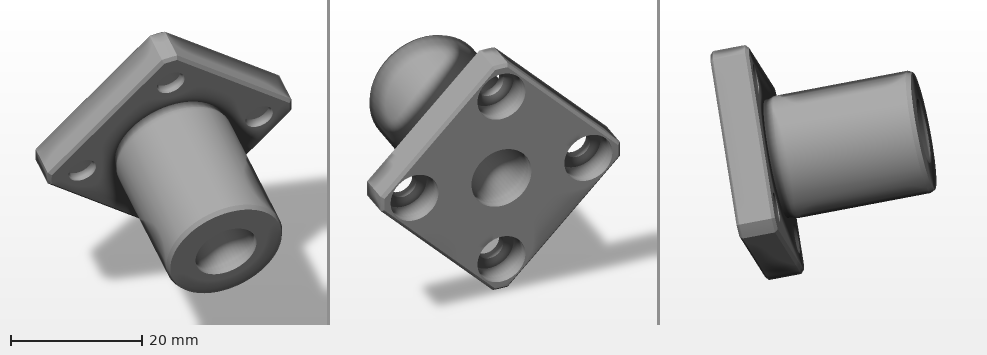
import cadquery as cq
import math

total_length = 29.0
flange_thickness = 6.0
flange_side = 30.0
flange_corner_diameter = 40.0
flange_chamfer = 0.48

sleeve_diameter = 19.0
bore_diameter = 10.0
neck_length = 1.45
neck_depth = 0.3
end_chamfer_length = 0.7
end_chamfer_depth = 0.35

hole_count = 4
hole_circle_diameter = 29.0
hole_diameter = 4.5
counterbore_diameter = 8.0
counterbore_depth = 4.4


def make_flange():
    """Square plate with its corners rounded by a common circle and both rims chamfered."""
    square = (
        cq.Workplane("YZ")
        .rect(flange_side, flange_side)
        .extrude(flange_thickness)
        .rotate((0, 0, 0), (1, 0, 0), 45)
    )
    disc = cq.Workplane("YZ").circle(flange_corner_diameter / 2).extrude(flange_thickness)
    return square.intersect(disc).faces("<X or >X").chamfer(flange_chamfer)


def make_sleeve():
    """Turned sleeve with a concave neck at the flange and a chamfered free end."""
    radius = sleeve_diameter / 2
    neck_radius = radius - neck_depth
    neck_end = flange_thickness + neck_length
    return (
        cq.Workplane("XY")
        .moveTo(0, 0)
        .lineTo(0, neck_radius)
        .lineTo(flange_thickness, neck_radius)
        .tangentArcPoint((neck_end, radius), relative=False)
        .lineTo(total_length - end_chamfer_length, radius)
        .lineTo(total_length, radius - end_chamfer_depth)
        .lineTo(total_length, 0)
        .close()
        .revolve(360, (0, 0, 0), (1, 0, 0))
    )


def make_mounting_hole(angle):
    """Cutter for one counterbored hole, opening wide on the front face of the flange."""
    place_y = hole_circle_diameter / 2 * math.cos(math.radians(angle))
    place_z = hole_circle_diameter / 2 * math.sin(math.radians(angle))
    centre = cq.Workplane("YZ").center(place_y, place_z)
    through_hole = centre.circle(hole_diameter / 2).extrude(flange_thickness)
    counterbore = centre.circle(counterbore_diameter / 2).extrude(counterbore_depth)
    return through_hole.union(counterbore)


bore = cq.Workplane("YZ").circle(bore_diameter / 2).extrude(total_length)

result = make_flange().union(make_sleeve()).cut(bore)
for index in range(hole_count):
    result = result.cut(make_mounting_hole(index * 360 / hole_count))